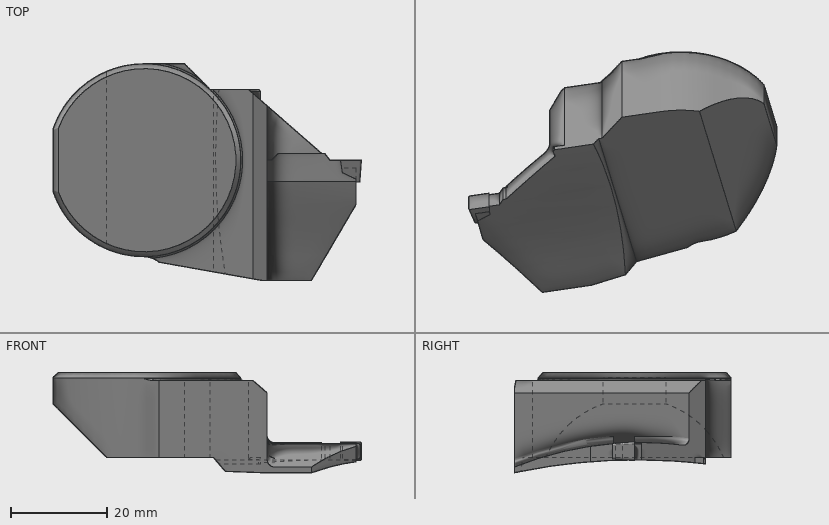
import cadquery as cq
import math


boss_radius = 20.05
flat_x = -19.0
chamfer_width = 1.0
chamfer_height = 1.15
foot_flare = 0.4

plate_top = -1.65
base_z = -17.7
back_cut_z = -6.55
below_all = -25.65

side_corner_x = 8.35
shoulder_y = 14.75
shoulder_end_x = 21.6
blade_shoulder = (36.85, 1.4)
blade_notch_start_x = 37.5
blade_notch_end_x = 38.6
blade_end_x = 44.05
blade_end_y = -9.15
front_y = -25.0
front_corner_x = 34.75
side_slope_start = (3.1, -21.2)
side_slope_end_x = 24.35
neck_arc_middle = (1.8, -20.45)

end_face_x = 25.5
end_chamfer = (2.95, 2.55)
foot_step_x = 14.35
foot_slope_run = 2.55
foot_slope_drop = 3.0

bottom_radius = 123.1
bottom_crest = (0.45, -18.2)
top_radius = 70.5
top_crest = (1.3, -14.58)
root_fillet = 1.55

seat_z = -14.9
seat_front_y = -4.4
seat_wide_y = 1.4
seat_widening_start_x = 26.4
seat_widening_end_x = 27.8

lug_end_x = 24.15
lug_start_x = 19.2
lug_depth_y = 5.1
lug_chamfer = 0.45

tip_length_y = 4.55
tip_top = -14.4
tip_bottom = -18.35
tip_back_x = 40.75
tip_front_x = 45.1
tip_relief = 0.3
tip_corner_radius = 0.4
tip_back_corner = (41.15, -2.55)
tip_back_end_y = -4.0


def make_plan():
    """Holder outline seen from above, extruded through its full height."""
    flat_half = math.sqrt(boss_radius**2 - flat_x**2)
    arc_point = boss_radius / math.sqrt(2)
    shoulder_start_x = side_corner_x + boss_radius - shoulder_y
    return (
        cq.Workplane("XY", origin=(0, 0, plate_top))
        .moveTo(0, -boss_radius)
        .threePointArc((-arc_point, -arc_point), (flat_x, -flat_half))
        .lineTo(flat_x, flat_half)
        .threePointArc((-arc_point, arc_point), (0, boss_radius))
        .lineTo(side_corner_x, boss_radius)
        .lineTo(shoulder_start_x, shoulder_y)
        .lineTo(shoulder_end_x, shoulder_y)
        .lineTo(*blade_shoulder)
        .lineTo(blade_notch_start_x, blade_shoulder[1])
        .lineTo(blade_notch_end_x, 0)
        .lineTo(blade_end_x, 0)
        .lineTo(blade_end_x, blade_end_y)
        .lineTo(front_corner_x, front_y)
        .lineTo(side_slope_end_x, front_y)
        .lineTo(*side_slope_start)
        .threePointArc(neck_arc_middle, (0, -boss_radius))
        .close()
        .extrude(below_all - plate_top)
    )


def make_side_profile():
    """Side profile: sloped back, stepped foot and chamfered end face."""
    back_cut_size = back_cut_z - base_z
    foot_slope_x = foot_step_x + foot_slope_run
    end_chamfer_x, end_chamfer_z = end_chamfer
    points = [
        (flat_x, plate_top),
        (end_face_x - end_chamfer_x, plate_top),
        (end_face_x, plate_top - end_chamfer_z),
        (end_face_x, seat_z + root_fillet),
        (tip_front_x, seat_z + root_fillet),
        (tip_front_x, below_all),
        (foot_slope_x, below_all),
        (foot_slope_x, base_z - foot_slope_drop),
        (foot_step_x, base_z),
        (flat_x + back_cut_size, base_z),
        (flat_x, back_cut_z),
    ]
    return cq.Workplane("XZ").polyline(points).close().extrude(-2 * front_y, both=True)


def make_cylinder(crest, radius, start_x):
    """Cylinder along +X from start_x whose highest line passes through crest (y, z)."""
    crest_y, crest_z = crest
    return (
        cq.Workplane("YZ", origin=(start_x, crest_y, crest_z - radius))
        .circle(radius)
        .extrude(2 * tip_front_x)
    )


def make_blade_clearance():
    """Space above the curved blade, rounded where it meets the end face."""
    crest_y, crest_z = top_crest
    half_width = 38.45
    edge_z = crest_z - top_radius + math.sqrt(top_radius**2 - half_width**2)
    clearance = (
        cq.Workplane("YZ", origin=(end_face_x, 0, 0))
        .moveTo(crest_y - half_width, edge_z)
        .threePointArc(top_crest, (crest_y + half_width, edge_z))
        .lineTo(crest_y + half_width, 0)
        .lineTo(crest_y - half_width, 0)
        .close()
        .extrude(tip_front_x)
    )
    return clearance.faces("<X").edges("%CIRCLE").fillet(root_fillet)


def make_seat_clearance():
    """Cut that flattens the blade top into the narrow seat strip."""
    points = [
        (end_face_x, 0),
        (seat_widening_start_x, 0),
        (seat_widening_end_x, seat_wide_y),
        (tip_front_x, seat_wide_y),
        (tip_front_x, seat_front_y),
        (end_face_x, seat_front_y),
    ]
    return (
        cq.Workplane("XY", origin=(0, 0, seat_z)).polyline(points).close().extrude(-seat_z)
    )


def make_lug():
    lug = (
        cq.Workplane("XY", origin=(0, 0, base_z))
        .moveTo(lug_start_x, shoulder_y - lug_depth_y)
        .lineTo(lug_end_x, shoulder_y - lug_depth_y)
        .lineTo(lug_end_x, shoulder_y - lug_chamfer)
        .lineTo(lug_end_x - lug_chamfer, shoulder_y)
        .lineTo(lug_start_x, shoulder_y)
        .close()
        .extrude(below_all - base_z)
    )
    return lug.faces(">Z").edges(">Y").chamfer(lug_chamfer)


def make_boss():
    """Flat-sided disc with a chamfered rim."""
    disc = cq.Workplane("XY").circle(boss_radius).extrude(plate_top)
    beyond_flat = cq.Workplane("XY").box(
        boss_radius, 2 * boss_radius, -2 * plate_top
    ).translate((flat_x - boss_radius / 2, 0, 0))
    disc = disc.cut(beyond_flat)
    return disc.faces(">Z").chamfer(chamfer_height, chamfer_width)


def make_boss_flare(plan):
    """Concave flare from the +X half of the boss onto the plate, kept within the plan."""
    bend = foot_flare * (1 - math.sqrt(0.5))
    flare_turn = -90
    flare = (
        cq.Workplane("XZ")
        .moveTo(0, plate_top)
        .lineTo(boss_radius + foot_flare, plate_top)
        .threePointArc(
            (boss_radius + bend, plate_top + bend),
            (boss_radius, plate_top + foot_flare),
        )
        .lineTo(0, plate_top + foot_flare)
        .close()
        .revolve(180, (0, 0, 0), (0, 1, 0))
        .rotate((0, 0, 0), (0, 0, 1), flare_turn)
    )
    return flare.intersect(plan.translate((0, 0, foot_flare)))


def make_tip_section(y, inset):
    """Outline of the tip at y, with its two front corners rounded."""
    top = tip_top - inset
    bottom = tip_bottom + inset
    front = tip_front_x - inset
    radius = tip_corner_radius
    bend = radius * (1 - math.sqrt(0.5))
    return (
        cq.Workplane("XZ", origin=(0, y, 0))
        .moveTo(tip_back_x, bottom)
        .lineTo(front - radius, bottom)
        .threePointArc((front - bend, bottom + bend), (front, bottom + radius))
        .lineTo(front, top - radius)
        .threePointArc((front - bend, top - bend), (front - radius, top))
        .lineTo(tip_back_x, top)
        .close()
        .val()
    )


def make_tip():
    sections = [make_tip_section(0, 0), make_tip_section(-tip_length_y, tip_relief)]
    tapered = cq.Workplane(cq.Solid.makeLoft(sections, True))
    plan_points = [
        (tip_back_x, 0),
        tip_back_corner,
        (blade_end_x, tip_back_end_y),
        (blade_end_x, -tip_length_y),
        (tip_front_x, -tip_length_y),
        (tip_front_x, 0),
    ]
    plan = cq.Workplane("XY").polyline(plan_points).close().extrude(below_all)
    return tapered.intersect(plan)


def make_holder(tip):
    plan = make_plan()
    holder = plan.intersect(make_side_profile())
    holder = holder.cut(make_blade_clearance()).cut(make_seat_clearance())
    holder = holder.union(make_lug())
    holder = holder.cut(make_cylinder(bottom_crest, bottom_radius, flat_x))
    holder = holder.union(make_boss(), clean=False)
    holder = holder.union(make_boss_flare(plan), clean=False)
    return holder.cut(tip, clean=False)


tip = make_tip()
holder = make_holder(tip)

result = cq.Compound.makeCompound([holder.solids().val(), tip.solids().val()])